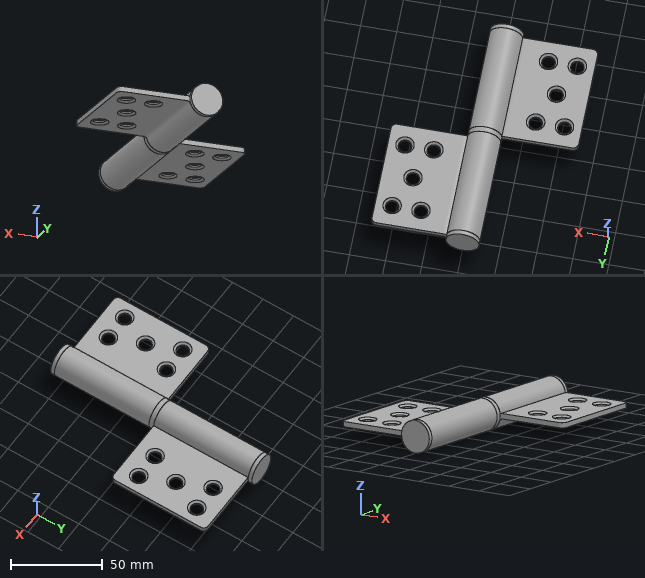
import cadquery as cq
import math


hinge_length = 132.0
hinge_width = 102.4
barrel_radius = 9.2

cap_thickness = 2.5
spacer_thickness = 3.0
leaf_length = (hinge_length - 2 * cap_thickness - spacer_thickness) / 2
lower_leaf_start = -hinge_length / 2 + cap_thickness
upper_leaf_start = spacer_thickness / 2

sheet_thickness = 3.0
bend_radius = 2.5
corner_radius = 3.0
leaf_reach = hinge_width / 2

hole_diameter = 7.3
countersink_diameter = 10.0
countersink_depth = 1.0
hole_centre_x = 33.7
hole_pitch_x = 16.0
hole_pitch_y = 38.0
hole_offsets = [(0, 0)] + [
    (side * hole_pitch_x / 2, end * hole_pitch_y / 2) for side in (-1, 1) for end in (-1, 1)
]


def make_disc(start_y, length):
    """Cylinder on the hinge axis, running in +Y from start_y."""
    axis_start = cq.Workplane("XZ", origin=(0, start_y, 0))
    return axis_start.circle(barrel_radius).extrude(-length)


def make_sheet(start_y):
    """Flat leaf on the +X side whose inner end bends down, tangent to the barrel."""
    half_thickness = sheet_thickness / 2
    outer_bend_radius = bend_radius + sheet_thickness

    bend_z = -half_thickness - bend_radius
    bend_x = math.sqrt((barrel_radius + bend_radius) ** 2 - bend_z ** 2)
    end_angle = math.atan2(-bend_z, -bend_x)
    middle_angle = (end_angle + math.pi / 2) / 2

    def bend_point(radius, angle):
        return (bend_x + radius * math.cos(angle), bend_z + radius * math.sin(angle))

    profile = (
        cq.Workplane("XZ", origin=(0, start_y, 0))
        .moveTo(leaf_reach, -half_thickness)
        .lineTo(leaf_reach, half_thickness)
        .lineTo(bend_x, half_thickness)
        .threePointArc(
            bend_point(outer_bend_radius, middle_angle),
            bend_point(outer_bend_radius, end_angle),
        )
        .lineTo(*bend_point(bend_radius, end_angle))
        .threePointArc(bend_point(bend_radius, middle_angle), (bend_x, -half_thickness))
        .close()
    )
    sheet = profile.extrude(-leaf_length)
    return sheet.faces(">X").edges("|Z").fillet(corner_radius)


def make_screw_hole():
    """Cutter for one hole, centred on the sheet and countersunk from both of its faces."""
    hole_radius = hole_diameter / 2
    countersink_radius = countersink_diameter / 2
    half_thickness = sheet_thickness / 2
    waist = half_thickness - countersink_depth
    return (
        cq.Workplane("XZ")
        .moveTo(0, -half_thickness)
        .lineTo(countersink_radius, -half_thickness)
        .lineTo(hole_radius, -waist)
        .lineTo(hole_radius, waist)
        .lineTo(countersink_radius, half_thickness)
        .lineTo(0, half_thickness)
        .close()
        .revolve()
    )


def cut_screw_holes(sheet, start_y):
    """Cut the five screw holes through the sheet."""
    pattern_centre_y = start_y + leaf_length / 2
    screw_hole = make_screw_hole()
    for offset_x, offset_y in hole_offsets:
        hole_place = (hole_centre_x + offset_x, pattern_centre_y + offset_y, 0)
        sheet = sheet.cut(screw_hole.translate(hole_place))
    return sheet


def make_leaf(start_y):
    """Leaf on the +X side together with its barrel."""
    sheet = cut_screw_holes(make_sheet(start_y), start_y)
    return make_disc(start_y, leaf_length).union(sheet)


upper_leaf = make_leaf(upper_leaf_start)
lower_leaf = make_leaf(lower_leaf_start).mirror("YZ")

spacer = make_disc(-spacer_thickness / 2, spacer_thickness)

cap_starts = [-hinge_length / 2, hinge_length / 2 - cap_thickness]
caps = [make_disc(cap_start, cap_thickness).val() for cap_start in cap_starts]

result = cq.Compound.makeCompound([upper_leaf.val(), lower_leaf.val(), spacer.val(), *caps])